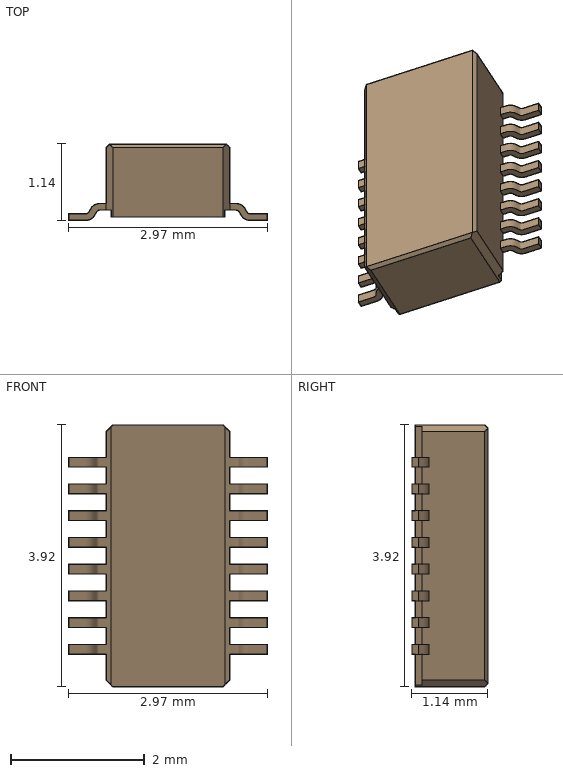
import cadquery as cq
import math

body_length = 3.92
body_width = 1.85
lead_span = 2.97
overall_depth = 1.14

corner_chamfer = 0.1
back_chamfer = 0.05
step_width = 0.075
step_depth = 0.1
standoff = 0.05

leads_per_side = 8
lead_pitch = 0.4
lead_width = 0.15
lead_thickness = 0.1
foot_length = 0.26
inner_radius = 0.05
bend_angle = math.radians(60)

body_depth = overall_depth - standoff
step_y = standoff + step_depth
outer_radius = inner_radius + lead_thickness


def make_body():
    """Block with a bevelled back face, its four corners then cut flat along Y."""
    block = cq.Workplane("XY").box(body_width, body_depth, body_length)
    back_bevelled = block.faces(">Y").edges().chamfer(back_chamfer)
    corners_cut = block.edges("|Y").chamfer(corner_chamfer)
    body = back_bevelled.intersect(corners_cut)
    return body.translate((0, standoff + body_depth / 2, 0))


def make_side_step(side):
    """Cutter that narrows the front of the body along one long side."""
    center_x = side * (body_width - step_width) / 2
    center_y = standoff + step_depth / 2
    return cq.Workplane("XY").box(step_width, step_depth, body_length).translate((center_x, center_y, 0))


def make_lead():
    """One lead on the +X side, centred on Z = 0, with equal and opposite bends."""
    body_x = body_width / 2
    tip_x = lead_span / 2
    foot_start_x = tip_x - foot_length

    inner_run = inner_radius * math.sin(bend_angle)
    inner_rise = inner_radius * (1 - math.cos(bend_angle))
    outer_run = outer_radius * math.sin(bend_angle)
    outer_rise = outer_radius * (1 - math.cos(bend_angle))
    slope_rise = step_y - inner_rise - outer_rise
    slope_run = slope_rise / math.tan(bend_angle)
    shoulder_end_x = foot_start_x - inner_run - slope_run - outer_run

    profile = (
        cq.Workplane("XY")
        .workplane(offset=-lead_width / 2)
        .moveTo(body_x, step_y)
        .lineTo(shoulder_end_x, step_y)
        .tangentArcPoint((inner_run, -inner_rise))
        .line(slope_run, -slope_rise)
        .tangentArcPoint((outer_run, -outer_rise))
        .lineTo(tip_x, 0)
        .line(0, lead_thickness)
        .lineTo(foot_start_x, lead_thickness)
        .tangentArcPoint((-inner_run, inner_rise))
        .line(-slope_run, slope_rise)
        .tangentArcPoint((-outer_run, outer_rise))
        .lineTo(body_x, step_y + lead_thickness)
        .close()
    )
    return profile.extrude(lead_width)


result = make_body()
for side in (-1, 1):
    result = result.cut(make_side_step(side))

right_lead = make_lead()
left_lead = right_lead.mirror("YZ")
for index in range(leads_per_side):
    lead_z = (index - (leads_per_side - 1) / 2) * lead_pitch
    for lead in (left_lead, right_lead):
        result = result.union(lead.translate((0, 0, lead_z)))
result = result.clean()